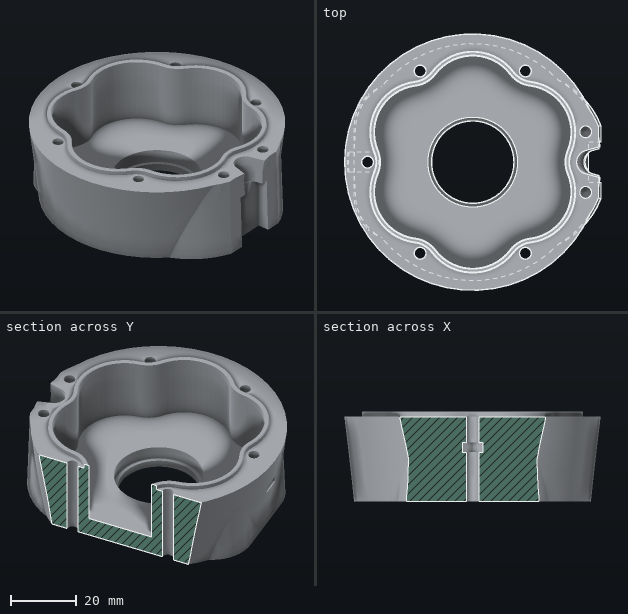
import cadquery as cq
import math

body_height = 25.7
top_radius = 39.0
bottom_radius = 36.0

lobe_count = 6
lobe_center_distance = 18.1
lobe_radius = 15.6
valley_radius = 7.6
lip_height = 1.55
lip_wall = 1.4
lip_chamfer = 0.2
floor_height = 6.6

bore_radius = 12.5
bearing_seat_radius = 13.65
bearing_seat_height = 2.3

screw_circle_radius = 31.95
screw_hole_diameter = 3.5

nut_width = 6.1
nut_trap_bottom = 15.05
nut_trap_height = 2.8
nut_sides = 6
nut_corner_diameter = nut_width / math.cos(math.pi / nut_sides)

foot_face_x = -36.0
foot_corner_y = 10.9
foot_corner_radius = 12.85
foot_draft = 2.3

pad_face_x = 39.0
pad_half_width = 11.1
pad_side_radius = 25.7
pad_side_center = (15.1, 1.6)
pad_inner_x = 19.5
pad_draft = 1.8

pad_hole_x = 34.3
pad_hole_y = 9.2
pad_hole_diameter = 3.6
pad_hole_depth = 9.35
drill_point_angle = 118.0

notch_arc_x = 35.2
notch_radius = 3.7
notch_flare_angle = 15.0
notch_lean = 0.27
notch_ledge_height = 17.6
notch_ledge_width = 0.4
pocket_wall_x = 35.2
pocket_half_width = 6.15

clear_x = 46.8


def polar(radius, angle):
    """Point at a radius and an angle in degrees."""
    return (radius * math.cos(math.radians(angle)), radius * math.sin(math.radians(angle)))


def lobed_prism(inset, bottom, height):
    """Prism of six lobes joined by tangent valley arcs, shrunk inward by inset."""
    lobe = lobe_radius - inset
    valley = valley_radius + inset
    half_pitch = 180.0 / lobe_count
    half_gap = lobe_center_distance * math.sin(math.radians(half_pitch))
    valley_distance = (
        lobe_center_distance * math.cos(math.radians(half_pitch))
        + math.sqrt((lobe + valley) ** 2 - half_gap ** 2)
    )
    blend = lobe / (lobe + valley)

    def tangent_point(lobe_angle, valley_angle):
        center = polar(lobe_center_distance, lobe_angle)
        opposite = polar(valley_distance, valley_angle)
        return tuple(c + blend * (o - c) for c, o in zip(center, opposite))

    outline = cq.Workplane("XY").workplane(offset=bottom).moveTo(*tangent_point(half_pitch, 0))
    for index in range(lobe_count):
        lobe_angle = half_pitch * (2 * index + 1)
        valley_angle = lobe_angle + half_pitch
        outline = outline.threePointArc(
            polar(lobe_center_distance + lobe, lobe_angle),
            tangent_point(lobe_angle, valley_angle),
        )
        outline = outline.threePointArc(
            polar(valley_distance - valley, valley_angle),
            tangent_point(valley_angle + half_pitch, valley_angle),
        )
    return outline.close().extrude(height)


def make_foot():
    """Round-cornered block that shows outside the cone only near the bottom."""
    inner_x = foot_face_x + foot_corner_radius
    half_width = foot_corner_y + foot_corner_radius
    diagonal_x, diagonal_y = polar(foot_corner_radius, 135)
    middle = (inner_x + diagonal_x, foot_corner_y + diagonal_y)
    outline = (
        cq.Workplane("XY")
        .moveTo(foot_face_x, -foot_corner_y)
        .lineTo(foot_face_x, foot_corner_y)
        .threePointArc(middle, (inner_x, half_width))
        .lineTo(inner_x, -half_width)
        .threePointArc((middle[0], -middle[1]), (foot_face_x, -foot_corner_y))
        .close()
    )
    return outline.extrude(body_height, taper=foot_draft)


def make_pad():
    """Flat-faced pad with large round flanks."""
    center_x, center_y = pad_side_center

    def flank_y(x):
        return center_y + math.sqrt(pad_side_radius ** 2 - (x - center_x) ** 2)

    middle_x = (pad_face_x + pad_inner_x) / 2
    corner = (pad_face_x, pad_half_width)
    middle = (middle_x, flank_y(middle_x))
    inner = (pad_inner_x, flank_y(pad_inner_x))
    outline = (
        cq.Workplane("XY")
        .moveTo(pad_face_x, -pad_half_width)
        .lineTo(*corner)
        .threePointArc(middle, inner)
        .lineTo(inner[0], -inner[1])
        .threePointArc((middle[0], -middle[1]), (corner[0], -corner[1]))
        .close()
    )
    return outline.extrude(body_height, taper=pad_draft)


def leaning_notch(top, drop, arc_x):
    """Round-ended notch with flared sides whose round end leans outward on the way down."""
    tangent_x, tangent_y = polar(notch_radius, 90 + notch_flare_angle)
    shoulder_x = arc_x + tangent_x
    mouth_y = tangent_y + (clear_x - shoulder_x) * math.tan(math.radians(notch_flare_angle))
    outline = (
        cq.Workplane("XY").workplane(offset=top)
        .moveTo(clear_x, mouth_y)
        .lineTo(shoulder_x, tangent_y)
        .threePointArc((arc_x - notch_radius, 0), (shoulder_x, -tangent_y))
        .lineTo(clear_x, -mouth_y)
        .close()
    )
    path = cq.Workplane("XZ").moveTo(arc_x, top).lineTo(arc_x + drop * notch_lean, top - drop)
    return outline.sweep(path)


body = cq.Workplane(cq.Solid.makeCone(bottom_radius, top_radius, body_height))
body = body.union(make_foot()).union(make_pad())

lip = lobed_prism(0, body_height, lip_height).cut(lobed_prism(lip_wall, body_height, lip_height))
lip = lip.faces(">Z").edges().chamfer(lip_chamfer)
body = body.cut(lobed_prism(lip_wall, floor_height, body_height - floor_height)).union(lip)

body = body.cut(cq.Workplane("XY").circle(bore_radius).extrude(body_height))
bearing_seat = cq.Workplane("XY").workplane(offset=bearing_seat_height).circle(bearing_seat_radius)
body = body.cut(bearing_seat.extrude(body_height))

screw_points = [polar(screw_circle_radius, 360 / lobe_count * index) for index in range(1, lobe_count)]
body = body.cut(
    cq.Workplane("XY").pushPoints(screw_points).circle(screw_hole_diameter / 2).extrude(body_height)
)

nut = (
    cq.Workplane("XY").workplane(offset=nut_trap_bottom)
    .center(-screw_circle_radius, 0)
    .polygon(nut_sides, nut_corner_diameter)
    .extrude(nut_trap_height)
)
nut_entry = (
    cq.Workplane("XY")
    .box(clear_x - screw_circle_radius, nut_width, nut_trap_height, centered=(False, True, False))
    .translate((-clear_x, 0, nut_trap_bottom))
)
body = body.cut(nut).cut(nut_entry)

drill_tip = pad_hole_diameter / 2 / math.tan(math.radians(drill_point_angle / 2))
for side in (-1, 1):
    drill = (
        cq.Workplane("XZ", origin=(pad_hole_x, side * pad_hole_y, body_height))
        .lineTo(pad_hole_diameter / 2, 0)
        .lineTo(pad_hole_diameter / 2, -pad_hole_depth)
        .lineTo(0, -pad_hole_depth - drill_tip)
        .close()
        .revolve(360, (0, 0, 0), (0, 1, 0))
    )
    body = body.cut(drill)

upper_drop = body_height - notch_ledge_height
lower_arc_x = notch_arc_x + upper_drop * notch_lean + notch_ledge_width
lower_drop = (pocket_wall_x + notch_radius - lower_arc_x) / notch_lean
body = body.cut(leaning_notch(body_height, upper_drop, notch_arc_x))
body = body.cut(leaning_notch(notch_ledge_height, lower_drop, lower_arc_x))
pocket = cq.Workplane("XY").box(
    clear_x - pocket_wall_x, 2 * pocket_half_width, notch_ledge_height, centered=(False, True, False)
)
result = body.cut(pocket.translate((pocket_wall_x, 0, 0)))